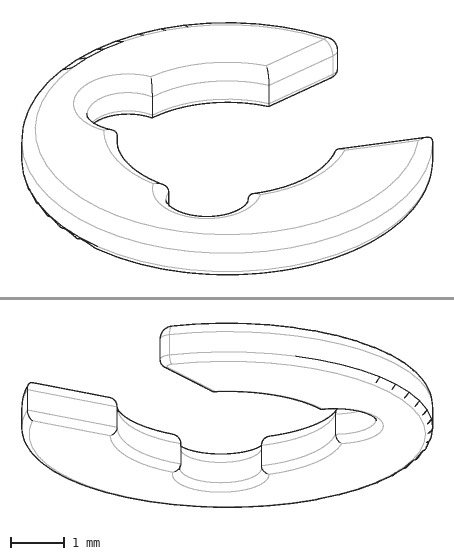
import cadquery as cq
import math

outer_radius = 3.81
bore_radius = 2.04
thickness = 0.79

mouth_half_width = 0.97
mouth_flare_angle = 13.2

notch_radius = 0.76
notch_angle = 37.5

top_fillet = 0.25
bottom_fillet = 0.135
tip_fillet = 0.25


def cylinder(radius, x=0, y=0):
    return cq.Workplane("XY").center(x, y).circle(radius).extrude(thickness)


def mouth_cut():
    """Flared wedge from the ring centre out beyond both tips."""
    far_half_width = mouth_half_width + outer_radius * math.tan(math.radians(mouth_flare_angle))
    corners = [
        (-mouth_half_width, 0),
        (mouth_half_width, 0),
        (far_half_width, outer_radius),
        (-far_half_width, outer_radius),
    ]
    return cq.Workplane("XY").polyline(corners).close().extrude(thickness)


def flat_ring():
    """Square-edged ring with its bore, mouth and two relief notches."""
    ring = cylinder(outer_radius).cut(cylinder(bore_radius)).cut(mouth_cut())
    notch_x = bore_radius * math.cos(math.radians(notch_angle))
    notch_y = -bore_radius * math.sin(math.radians(notch_angle))
    for side in (-1, 1):
        ring = ring.cut(cylinder(notch_radius, side * notch_x, notch_y))
    return ring


def round_edges(ring):
    """Round the -X tip first so that the rim fillets run around it."""
    tip_edge = cq.selectors.NearestToPointSelector((-outer_radius / 2, outer_radius, thickness / 2))
    ring = ring.edges("|Z").edges(tip_edge).fillet(tip_fillet)
    ring = ring.faces(">Z").edges().fillet(top_fillet)
    return ring.faces("<Z").edges().fillet(bottom_fillet)


result = round_edges(flat_ring())